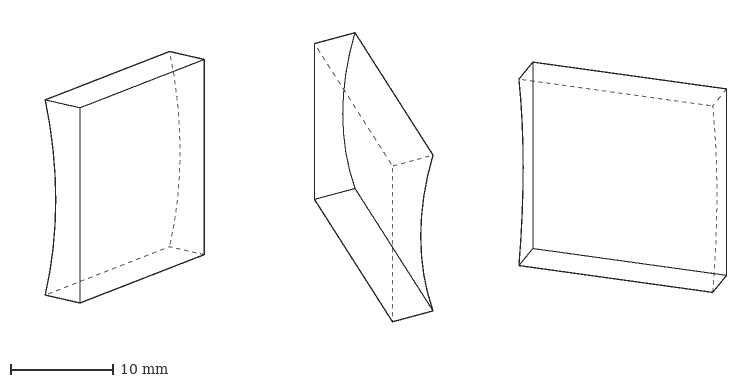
import cadquery as cq

side_length = 20.0
edge_thickness = 4.3
center_thickness = 3.0

half_side = side_length / 2
back_x = edge_thickness / 2
edge_x = back_x - edge_thickness
hollow_x = back_x - center_thickness

result = (
    cq.Workplane("XZ")
    .moveTo(edge_x, -half_side)
    .lineTo(back_x, -half_side)
    .lineTo(back_x, half_side)
    .lineTo(edge_x, half_side)
    .threePointArc((hollow_x, 0), (edge_x, -half_side))
    .close()
    .extrude(half_side, both=True)
)